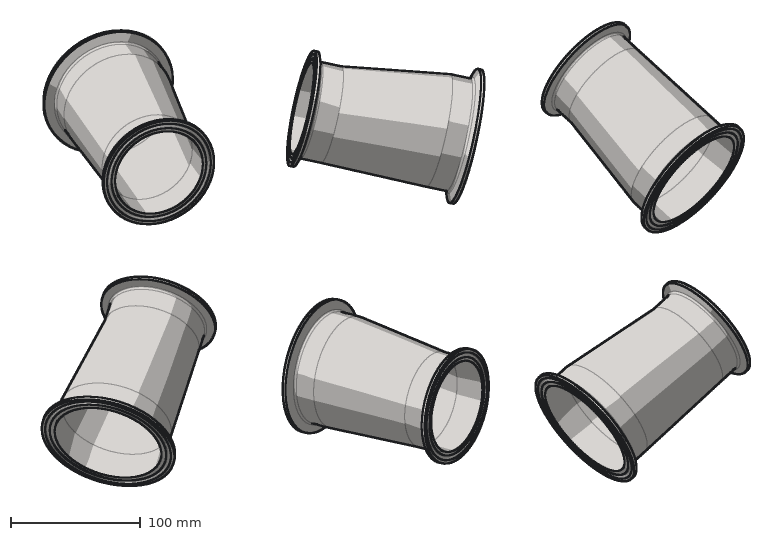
import cadquery as cq
import math

length = 130.0
ferrule_length = 23.1

large_flange_d = 106.0
large_tube_d = 89.0
large_bore_d = 85.2
small_flange_d = 91.0
small_tube_d = 76.3
small_bore_d = 72.3

small_axis_y = -(large_tube_d - small_tube_d) / 2

rim_width = 2.7
clamp_angle = math.radians(20)
root_radius = 2.0

groove_rim_inset = 2.7
groove_width = 3.8
groove_wall_run = 0.8
groove_wall_depth = 1.0
groove_depth = 1.5


def ferrule(flange_d, tube_d):
    """Solid ferrule on the X axis with its end face at X = 0."""
    flange_r = flange_d / 2
    tube_r = tube_d / 2

    cone_end_x = rim_width + (flange_r - tube_r) * math.tan(clamp_angle)
    turn = math.pi / 2 - clamp_angle
    tangent_length = root_radius * math.tan(turn / 2)
    arc_start = (
        cone_end_x - tangent_length * math.sin(clamp_angle),
        tube_r + tangent_length * math.cos(clamp_angle),
    )
    arc_end_x = cone_end_x + tangent_length
    arc_middle = (
        arc_end_x - root_radius * math.sin(turn / 2),
        tube_r + root_radius * (1 - math.cos(turn / 2)),
    )

    body = (
        cq.Workplane("XY")
        .lineTo(0, flange_r)
        .lineTo(rim_width, flange_r)
        .lineTo(*arc_start)
        .threePointArc(arc_middle, (arc_end_x, tube_r))
        .lineTo(ferrule_length, tube_r)
        .lineTo(ferrule_length, 0)
        .close()
        .revolve(360, (0, 0), (1, 0))
    )
    return body.cut(gasket_groove(flange_r - groove_rim_inset))


def gasket_groove(outer_r):
    """Ring with sloping walls and a rounded floor."""
    inner_r = outer_r - groove_width
    return (
        cq.Workplane("XY")
        .moveTo(0, inner_r)
        .lineTo(groove_wall_depth, inner_r + groove_wall_run)
        .threePointArc(
            (groove_depth, (inner_r + outer_r) / 2),
            (groove_wall_depth, outer_r - groove_wall_run),
        )
        .lineTo(0, outer_r)
        .close()
        .revolve(360, (0, 0), (1, 0))
    )


def at_small_end(large_end_shape):
    """Turn a shape made at X = 0 around and move it to the small end."""
    return large_end_shape.mirror("YZ").translate((length, small_axis_y, 0))


def straight(diameter):
    """Cylinder as long as a ferrule, starting at X = 0."""
    return cq.Workplane("YZ").circle(diameter / 2).extrude(ferrule_length)


def taper(large_d, small_d):
    """Eccentric cone between the two ferrules."""
    return (
        cq.Workplane("YZ", origin=(ferrule_length, 0, 0))
        .circle(large_d / 2)
        .workplane(offset=length - 2 * ferrule_length)
        .center(small_axis_y, 0)
        .circle(small_d / 2)
        .loft(ruled=True)
    )


outside = (
    ferrule(large_flange_d, large_tube_d)
    .union(taper(large_tube_d, small_tube_d))
    .union(at_small_end(ferrule(small_flange_d, small_tube_d)))
)
bore = (
    straight(large_bore_d)
    .union(taper(large_bore_d, small_bore_d))
    .union(at_small_end(straight(small_bore_d)))
)
result = outside.cut(bore)